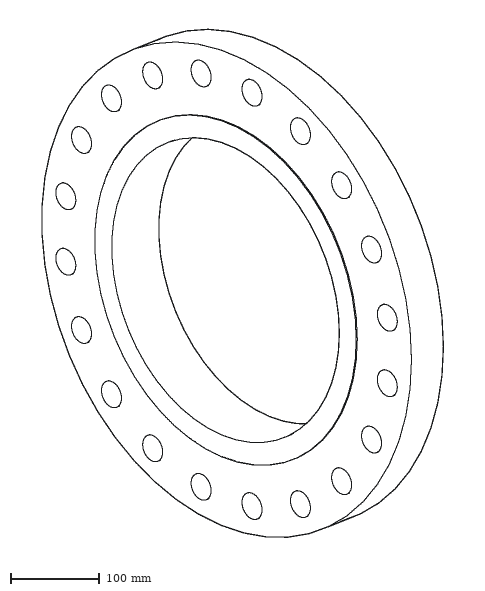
import cadquery as cq

flange_diameter = 584.0
bore_diameter = 359.0
raised_face_diameter = 413.0
hub_diameter = 425.5

total_length = 76.5
raised_face_height = 2.0
hub_length = 23.0
flange_thickness = total_length - raised_face_height - hub_length

bolt_hole_count = 20
bolt_hole_diameter = 31.5
bolt_circle_diameter = 514.0
bolt_pitch_angle = 360 / bolt_hole_count


def disc(diameter, start, length):
    """Solid disc about the Y axis, growing towards +Y from y = start."""
    plane = cq.Plane(origin=(0, start, 0), xDir=(1, 0, 0), normal=(0, 1, 0))
    return cq.Workplane(plane).circle(diameter / 2).extrude(length)


def bolt_holes():
    """Through-hole cutters, straddling the X and Z axes by half a pitch."""
    plane = cq.Plane(origin=(0, 0, 0), xDir=(1, 0, 0), normal=(0, 1, 0))
    return (
        cq.Workplane(plane)
        .polarArray(bolt_circle_diameter / 2, bolt_pitch_angle / 2, 360, bolt_hole_count)
        .circle(bolt_hole_diameter / 2)
        .extrude(total_length)
    )


flange_start = raised_face_height
hub_start = flange_start + flange_thickness

raised_face = disc(raised_face_diameter, 0, raised_face_height)
flange = disc(flange_diameter, flange_start, flange_thickness)
hub = disc(hub_diameter, hub_start, hub_length)
bore = disc(bore_diameter, 0, total_length)

result = raised_face.union(flange).union(hub).cut(bore).cut(bolt_holes())